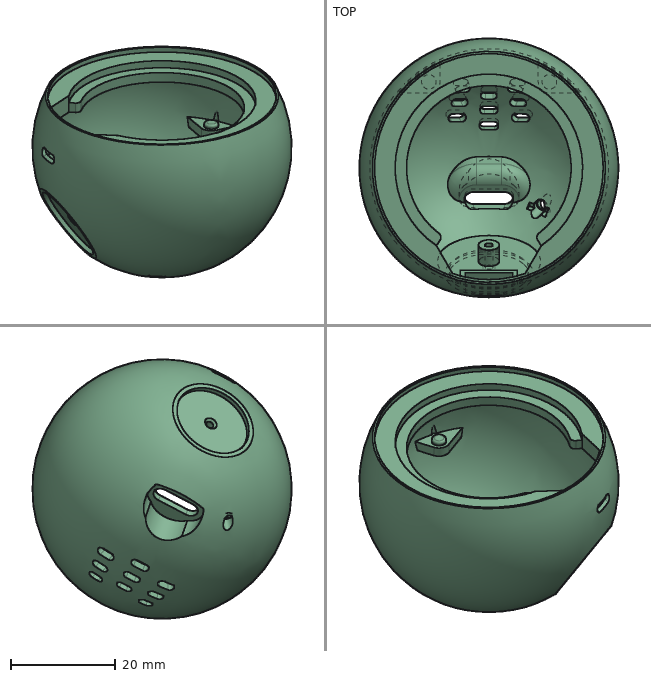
import cadquery as cq
import math

OUTER_RADIUS = 24.9
CAVITY_RADIUS = 22.9
MID_WALL_RADIUS = (OUTER_RADIUS + CAVITY_RADIUS) / 2

RIM_Z = 11.0
RIM_DEPTH = 1
RIM_BORE_RADIUS = 21.9
GROOVE_DEPTH = 1.5
GROOVE_RADIUS = 17.95
LIP_THICKNESS = 2
LIP_RADIUS = 15.8
SHELF_Z = RIM_Z - RIM_DEPTH
LIP_Z = SHELF_Z - GROOVE_DEPTH
LIP_BOTTOM_Z = LIP_Z - LIP_THICKNESS

LIP_END_ANGLE = 34
LIP_END_FILLET = 1
NOTCH_RADIUS = 21.4
NOTCH_NARROWING = 30

FOOT_TILT = 30
FOOT_FACE = 23.4
FOOT_RECESS_DIAMETER = 15.2
FOOT_RECESS_DEPTH = 1
FOOT_INNER_FACE = 20.65
SCREW_BOSS_DIAMETER = 4
SCREW_BOSS_HEIGHT = 3.6
SCREW_HOLE_DIAMETER = 1.5
SCREW_HEAD_DIAMETER = 2.5

SWITCH_RISE = 15.35
SWITCH_SLOT_LENGTH = 5
SWITCH_SLOT_WIDTH = 1.4
SWITCH_POCKET_LENGTH = 9.05
SWITCH_POCKET_WIDTH = 6.15
SWITCH_POCKET_REACH = 24.2
SWITCH_FRAME_TOP = 16.15
SWITCH_FRAME_WALL = 0.95

PORT_TILT = 30
PORT_OFFSET = -15.85
PORT_FLOOR = 16.6
PORT_HOUSING_TOP = 15.2
PLUG_LENGTH = 11.55
PLUG_WIDTH = 6.75
PLUG_RELIEF_DIAMETER = 9.95
PORT_HOUSING_WALL = 2.95
PORT_HOLE_LENGTH = 9.35
PORT_HOLE_WIDTH = 3.4
PORT_HOLE_START = 12.45

SOUND_SLOT_LENGTH = 3.9
SOUND_SLOT_WIDTH = 1.65
SOUND_PITCH_ANGLE = 8.3
SOUND_ROWS = 3
SOUND_MIDDLE_ANGLE = 28.9
SOUND_COLUMN_ANGLE = 17
SOUND_START_RADIUS = 19.9

LIGHT_POINT = cq.Vector(10.95, -6.35, -21.4)
LIGHT_DIRECTION = cq.Vector(0.52, 0.49, -0.7)
LIGHT_CROSS_DIRECTION = cq.Vector(0.86, -0.28, 0.43)
LIGHT_HOLE_DIAMETER = 2.1
LIGHT_BORE_DIAMETER = 2.5
LIGHT_BORE_DEPTH = 1.5
LIGHT_CROSS_LENGTH = 4.5
LIGHT_CROSS_WIDTH = 1.05
LIGHT_CROSS_DEPTH = 2.4
LIGHT_LENGTH = 6.95

PEG_X = 11.55
PEG_Y = 16.55
BRACKET_TOP_Z = -3.75
BRACKET_THICKNESS = 2
BRACKET_CORNER_RADIUS = 2.15
PEG_DIAMETER = 2.8
PEG_FILLET = 0.5
PEG_HEIGHT = 0.85
WALL_GROOVE_RADIUS = 0.75
WALL_GROOVE_X = 12.85
WALL_GROOVE_Y = 17.95

REACH = 2 * OUTER_RADIUS


def cylinder(radius, bottom_z, top_z):
    return cq.Workplane().workplane(offset=bottom_z).circle(radius).extrude(top_z - bottom_z)


def foot_plane(distance):
    """Plane facing outward along the foot axis, with local Y pointing up the slope."""
    tilt = math.radians(FOOT_TILT)
    axis = cq.Vector(0, -math.cos(tilt), -math.sin(tilt))
    return cq.Plane(origin=axis * distance, xDir=(1, 0, 0), normal=axis)


def port_plane(distance):
    """Plane facing outward along the port axis, centred on the port."""
    tilt = math.radians(PORT_TILT)
    axis = cq.Vector(0, math.sin(tilt), -math.cos(tilt))
    across = cq.Vector(0, math.cos(tilt), math.sin(tilt))
    origin = axis * distance + across * PORT_OFFSET
    return cq.Plane(origin=origin, xDir=(1, 0, 0), normal=axis)


def make_shell():
    """Sphere with its top cut off, the slanted foot face, and the cavity below the lip."""
    above_rim = cylinder(REACH, RIM_Z, REACH)
    beyond_foot = cq.Workplane(foot_plane(FOOT_FACE)).circle(REACH).extrude(REACH)
    inside_foot = cq.Workplane(foot_plane(FOOT_INNER_FACE)).circle(REACH).extrude(REACH)
    cavity = cq.Workplane().sphere(CAVITY_RADIUS).cut(inside_foot)
    cavity = cavity.cut(cylinder(REACH, LIP_BOTTOM_Z, REACH))
    return cq.Workplane().sphere(OUTER_RADIUS).cut(above_rim).cut(beyond_foot).cut(cavity)


def mouth_cut():
    """Stepped opening with a notch that narrows toward -Y."""
    rim = cylinder(RIM_BORE_RADIUS, SHELF_Z, RIM_Z)
    groove = cylinder(GROOVE_RADIUS, LIP_Z, SHELF_Z)
    opening = cylinder(LIP_RADIUS, LIP_BOTTOM_Z, LIP_Z)

    end_angle = math.radians(LIP_END_ANGLE)
    half_width = GROOVE_RADIUS * math.sin(end_angle)
    widest_y = -GROOVE_RADIUS * math.cos(end_angle)
    apex_y = widest_y - half_width / math.tan(math.radians(NOTCH_NARROWING))
    outline = [(0, 0), (-half_width, widest_y), (0, apex_y), (half_width, widest_y)]
    notch = cq.Workplane(origin=(0, 0, LIP_BOTTOM_Z)).polyline(outline).close()
    notch = notch.extrude(SHELF_Z - LIP_BOTTOM_Z)
    notch = notch.intersect(cylinder(NOTCH_RADIUS, LIP_BOTTOM_Z, SHELF_Z))

    opening = opening.union(notch)
    for side in (-1, 1):
        lip_corner = (
            side * LIP_RADIUS * math.sin(end_angle),
            -LIP_RADIUS * math.cos(end_angle),
            (LIP_BOTTOM_Z + LIP_Z) / 2,
        )
        opening = opening.edges(cq.selectors.NearestToPointSelector(lip_corner)).fillet(LIP_END_FILLET)
    return rim.union(groove).union(opening)


def add_foot(body):
    """Screw boss inside, disc recess outside, and a countersunk hole through both."""
    boss_top = FOOT_INNER_FACE - SCREW_BOSS_HEIGHT
    recess_floor = FOOT_FACE - FOOT_RECESS_DEPTH
    boss = cq.Workplane(foot_plane(boss_top)).circle(SCREW_BOSS_DIAMETER / 2).extrude(SCREW_BOSS_HEIGHT)
    recess = cq.Workplane(foot_plane(recess_floor)).circle(FOOT_RECESS_DIAMETER / 2)
    recess = recess.extrude(FOOT_RECESS_DEPTH)
    body = body.union(boss).cut(recess)
    hole = cq.Workplane(foot_plane(boss_top)).circle(SCREW_HOLE_DIAMETER / 2)
    hole = hole.extrude(recess_floor - boss_top)
    head_depth = (SCREW_HEAD_DIAMETER - SCREW_HOLE_DIAMETER) / 2
    head = cq.Workplane(foot_plane(recess_floor)).circle(SCREW_HEAD_DIAMETER / 2)
    head = head.workplane(offset=-head_depth).circle(SCREW_HOLE_DIAMETER / 2).loft()
    return body.cut(hole).cut(head)


def add_switch(body):
    """Framed pocket on the inner wall with a slot to the outside."""
    frame_height = SWITCH_POCKET_REACH - SWITCH_FRAME_TOP
    base = cq.Workplane(foot_plane(SWITCH_FRAME_TOP)).center(0, SWITCH_RISE)
    frame_size = (
        SWITCH_POCKET_LENGTH + 2 * SWITCH_FRAME_WALL,
        SWITCH_POCKET_WIDTH + 2 * SWITCH_FRAME_WALL,
    )
    frame = base.rect(*frame_size).extrude(frame_height)
    pocket = base.rect(SWITCH_POCKET_LENGTH, SWITCH_POCKET_WIDTH).extrude(frame_height)
    within_wall = cq.Workplane().sphere(SWITCH_POCKET_REACH)
    frame = frame.intersect(within_wall)
    pocket = pocket.intersect(within_wall)
    slot = base.slot2D(SWITCH_SLOT_LENGTH, SWITCH_SLOT_WIDTH).extrude(OUTER_RADIUS - SWITCH_FRAME_TOP)
    return body.union(frame).cut(pocket).cut(slot)


def add_port(body):
    """Plug pocket with a round finger relief, under a rounded housing inside the cavity."""
    housing_size = (PLUG_LENGTH + 2 * PORT_HOUSING_WALL, PLUG_WIDTH + 2 * PORT_HOUSING_WALL)
    housing_top = port_plane(PORT_HOUSING_TOP)
    housing = (
        cq.Workplane(housing_top)
        .slot2D(*housing_size)
        .extrude(OUTER_RADIUS - PORT_HOUSING_TOP)
        .faces(cq.selectors.NearestToPointSelector(housing_top.origin.toTuple()))
        .edges()
        .fillet(PORT_HOUSING_WALL)
        .intersect(cq.Workplane().sphere(MID_WALL_RADIUS))
    )
    floor = cq.Workplane(port_plane(PORT_FLOOR))
    depth = OUTER_RADIUS - PORT_FLOOR
    pocket = floor.slot2D(PLUG_LENGTH, PLUG_WIDTH).extrude(depth)
    relief = floor.circle(PLUG_RELIEF_DIAMETER / 2).extrude(depth)
    hole = cq.Workplane(port_plane(PORT_HOLE_START)).slot2D(PORT_HOLE_LENGTH, PORT_HOLE_WIDTH)
    hole = hole.extrude(depth)
    return body.union(housing).cut(pocket).cut(relief).cut(hole)


def sound_slots():
    """Radial slots; the outer columns are half a pitch higher than the middle one."""
    slots = cq.Workplane()
    for column in (-1, 0, 1):
        swing = math.radians(column * SOUND_COLUMN_ANGLE)
        for row in range(SOUND_ROWS):
            step = row - (SOUND_ROWS - 1) / 2 + abs(column) / 2
            lean = math.radians(SOUND_MIDDLE_ANGLE + step * SOUND_PITCH_ANGLE)
            outward = cq.Vector(
                math.cos(lean) * math.sin(swing), math.sin(lean), -math.cos(lean) * math.cos(swing)
            )
            across = cq.Vector(math.cos(swing), 0, math.sin(swing))
            plane = cq.Plane(origin=outward * SOUND_START_RADIUS, xDir=across, normal=outward)
            length = SOUND_SLOT_LENGTH * math.cos(lean)
            slot = cq.Workplane(plane).slot2D(length, SOUND_SLOT_WIDTH)
            slots = slots.add(slot.extrude(OUTER_RADIUS + SOUND_SLOT_WIDTH - SOUND_START_RADIUS))
    return slots.combine()


def light_cut():
    """Slanted hole, wider on the inside, crossed by a short slot."""

    def inward_from(depth):
        inward = LIGHT_DIRECTION.normalized() * -1
        origin = LIGHT_POINT + inward * depth
        return cq.Workplane(cq.Plane(origin=origin, xDir=LIGHT_CROSS_DIRECTION, normal=inward))

    hole = inward_from(-LIGHT_BORE_DEPTH).circle(LIGHT_HOLE_DIAMETER / 2).extrude(LIGHT_LENGTH)
    bore = inward_from(LIGHT_BORE_DEPTH).circle(LIGHT_BORE_DIAMETER / 2).extrude(LIGHT_LENGTH)
    cross = inward_from(LIGHT_CROSS_DEPTH).rect(LIGHT_CROSS_LENGTH, LIGHT_CROSS_WIDTH).extrude(LIGHT_LENGTH)
    return hole.union(bore).union(cross)


def add_board_post(body, side):
    """Bracket with a rounded inner corner, a rounded peg, and a groove in the wall above."""
    corner_x = PEG_X - BRACKET_CORNER_RADIUS
    corner_y = PEG_Y - BRACKET_CORNER_RADIUS
    corner_edge = (side * corner_x, corner_y, BRACKET_TOP_Z - BRACKET_THICKNESS / 2)
    bracket = (
        cq.Workplane(origin=(side * corner_x, corner_y, BRACKET_TOP_Z))
        .rect(side * OUTER_RADIUS, OUTER_RADIUS, centered=False)
        .extrude(-BRACKET_THICKNESS)
        .edges(cq.selectors.NearestToPointSelector(corner_edge))
        .fillet(BRACKET_CORNER_RADIUS)
        .intersect(cq.Workplane().sphere(MID_WALL_RADIUS))
    )
    top = cq.Workplane(origin=(side * PEG_X, PEG_Y, BRACKET_TOP_Z))
    groove = cq.Workplane(origin=(side * WALL_GROOVE_X, WALL_GROOVE_Y, BRACKET_TOP_Z))
    groove = groove.circle(WALL_GROOVE_RADIUS).extrude(-BRACKET_TOP_Z)
    peg = top.circle(PEG_DIAMETER / 2).extrude(PEG_HEIGHT)
    peg = peg.faces(">Z").edges().fillet(PEG_FILLET)
    return body.union(bracket).cut(groove).union(peg)


result = make_shell()
result = add_foot(result)
result = add_switch(result)
result = add_port(result)
for side in (-1, 1):
    result = add_board_post(result, side)
result = result.cut(mouth_cut()).cut(sound_slots()).cut(light_cut())